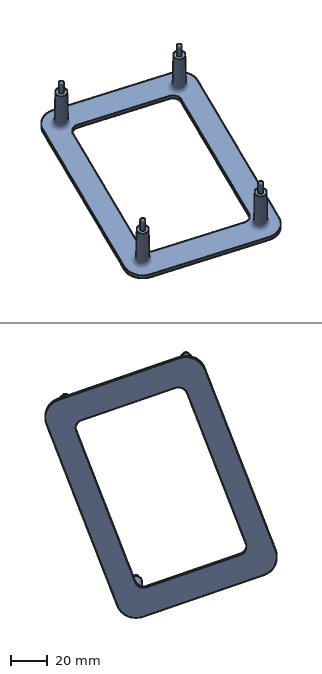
import cadquery as cq
import math

length = 133.6
width = 91.8
thickness = 2.5
corner_radius = 11.0
window_length = 102.8
window_width = 64.1
window_corner_radius = 5.0

overall_height = 35.5
shoulder_height = 27.5
post_top_radius = 3.3
post_draft = math.radians(1)
flare_radius = 3.1

pin_radius = 1.5
tip_rounding = 1.1


def make_frame():
    plate = cq.Workplane("XY").rect(length, width).extrude(thickness).edges("|Z").fillet(corner_radius)
    window = cq.Workplane("XY").rect(window_length, window_width).extrude(thickness)
    return plate.cut(window.edges("|Z").fillet(window_corner_radius))


def make_post():
    """Revolved drafted post with a tangent flared foot and a round-tipped pin."""
    flare_top = thickness + flare_radius * (1 - math.sin(post_draft))
    post_foot_radius = post_top_radius + (shoulder_height - flare_top) * math.tan(post_draft)
    flare_center_x = post_foot_radius + flare_radius * math.cos(post_draft)
    flare_center_z = thickness + flare_radius
    mid_angle = (math.pi / 2 + post_draft) / 2
    flare_middle = (
        flare_center_x - flare_radius * math.cos(mid_angle),
        flare_center_z - flare_radius * math.sin(mid_angle),
    )
    tip_middle = (
        pin_radius - tip_rounding * (1 - math.sqrt(0.5)),
        overall_height - tip_rounding * (1 - math.sqrt(0.5)),
    )
    return (
        cq.Workplane("XZ")
        .lineTo(flare_center_x, 0)
        .lineTo(flare_center_x, thickness)
        .threePointArc(flare_middle, (post_foot_radius, flare_top))
        .lineTo(post_top_radius, shoulder_height)
        .lineTo(pin_radius, shoulder_height)
        .lineTo(pin_radius, overall_height - tip_rounding)
        .threePointArc(tip_middle, (pin_radius - tip_rounding, overall_height))
        .lineTo(0, overall_height)
        .close()
        .revolve(360, (0, 0, 0), (0, 1, 0))
    )


result = make_frame()
post = make_post()
for x_side in (-1, 1):
    for y_side in (-1, 1):
        post_x = x_side * (length / 2 - corner_radius)
        post_y = y_side * (width / 2 - corner_radius)
        result = result.union(post.translate((post_x, post_y, 0)))